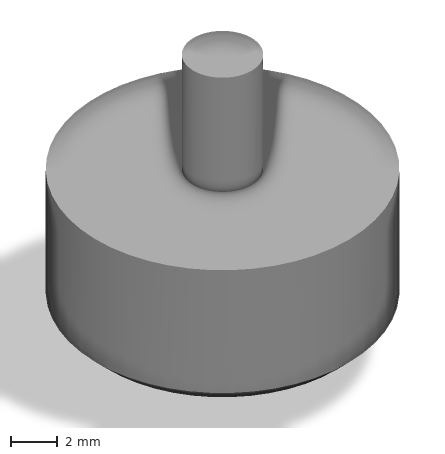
import cadquery as cq

total_height = 15.3
head_diameter = 15.2
stem_diameter = 3.5
stem_length = 6.0
chamfer = 0.75
cone_height = 2.1

head_radius = head_diameter / 2
stem_radius = stem_diameter / 2
cone_radius = head_radius - chamfer
head_bottom = cone_height + chamfer
head_top = total_height - stem_length


def make_head():
    """Cylindrical head with a chamfered lower edge and a conical point."""
    return (
        cq.Workplane("XZ")
        .moveTo(0, 0)
        .lineTo(cone_radius, cone_height)
        .lineTo(head_radius, head_bottom)
        .lineTo(head_radius, head_top)
        .lineTo(0, head_top)
        .close()
        .revolve(360, (0, 0, 0), (0, 1, 0))
    )


def add_stem(head):
    """Plain stem standing on the flat top of the head."""
    stem = cq.Workplane("XY").workplane(offset=head_top).circle(stem_radius).extrude(stem_length)
    return head.union(stem)


result = add_stem(make_head())